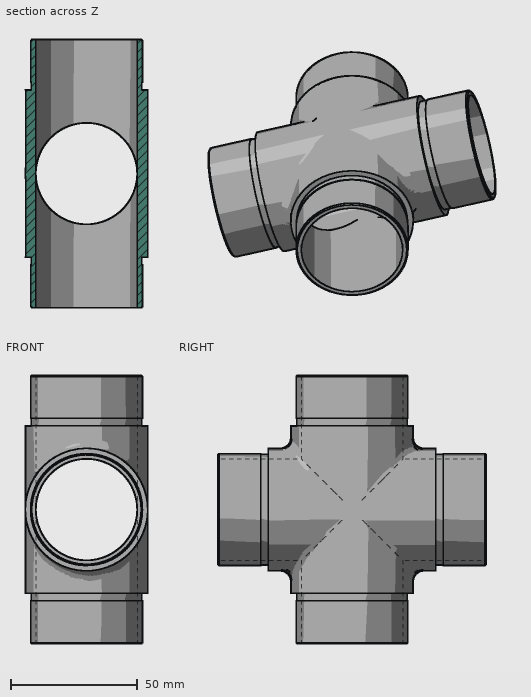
import cadquery as cq

span = 106.0
body_length = 66.1
body_diameter = 48.3
neck_diameter = 43.8
neck_length = 3.0
spigot_diameter = 44.2
bore_diameter = 40.0
rim_chamfer = 0.5
crotch_radius = 4.0

tube_planes = ("XY", "XZ")


def centred_cylinder(plane, diameter, length):
    return cq.Workplane(plane).circle(diameter / 2).extrude(length / 2, both=True)


def crossed_cylinders(diameter, length):
    first, second = (centred_cylinder(plane, diameter, length) for plane in tube_planes)
    return first.union(second)


def filleted_body():
    """Thick central cross, with its four crotches rounded along the elliptical seams."""
    return crossed_cylinders(body_diameter, body_length).edges("%ELLIPSE").fillet(crotch_radius)


def spigot_bar(plane):
    """Full-length bar with a chamfered rim at both ends and a shallow neck beside the body."""
    bar = centred_cylinder(plane, spigot_diameter, span).edges("%CIRCLE").chamfer(rim_chamfer)
    neck_span = body_length + 2 * neck_length
    neck_groove = (
        centred_cylinder(plane, spigot_diameter, neck_span)
        .cut(centred_cylinder(plane, neck_diameter, neck_span))
    )
    return bar.cut(neck_groove)


outside = filleted_body()
for tube_plane in tube_planes:
    outside = outside.union(spigot_bar(tube_plane))

result = outside.cut(crossed_cylinders(bore_diameter, span))